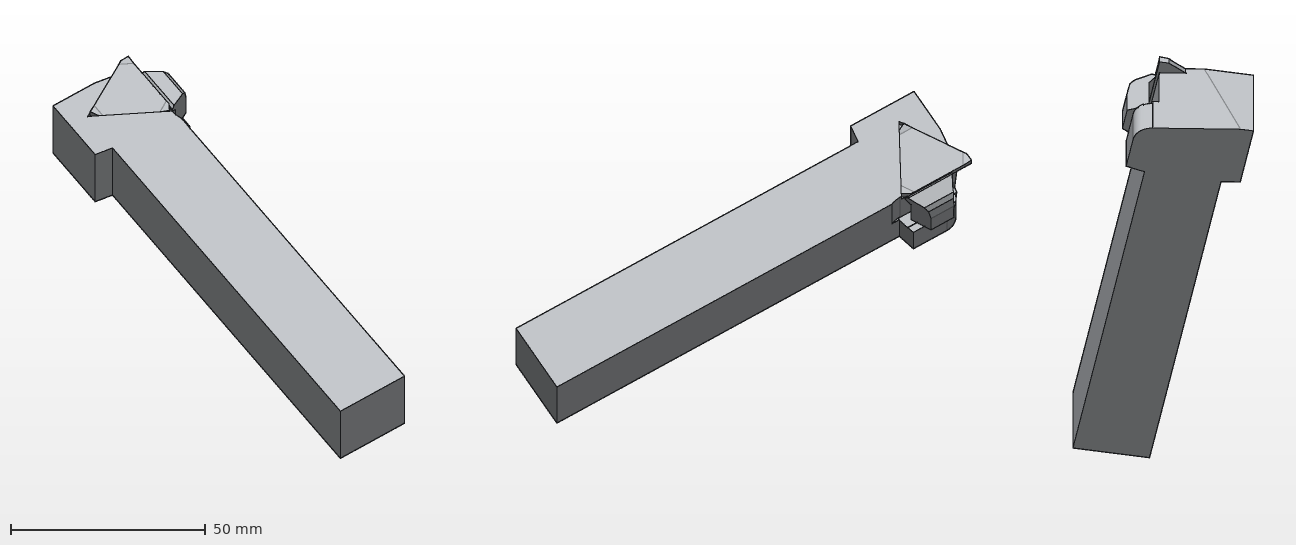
import cadquery as cq
import math

LENGTH = 125.0
SHANK_WIDTH = 20.0
BODY_HEIGHT = 20.0
SHANK_FRONT = 4.9
SHANK_BACK = SHANK_FRONT + SHANK_WIDTH

HEAD_LEFT = 2.0
HEAD_RIGHT = 21.1
SHOULDER_X = 21.9
RELIEF_TOP_Y = 12.9
RELIEF_BOTTOM_Y = 3.4
RELIEF_SLOPE = 0.16

LEDGE_HEIGHT = 9.1
LEDGE_BACK = 29.9
LEDGE_RIGHT = 20.6
LEDGE_ROOT_X = 21.8
LEDGE_RADIUS = 5.0
LEDGE_STEP_Y = 27.9
LEDGE_STEP_DEPTH = 0.2

RECESS_Y = 24.2
RECESS_FLAT_END = 21.2
RECESS_END = 24.0
RECESS_ARC_SAG = 0.1

CLAMP_BACK = 31.6
CLAMP_INNER = 26.4
CLAMP_NOSE_TOP_Y = 25.6
CLAMP_TOP = 20.1
CLAMP_CENTER_X = 12.94
CLAMP_FRONT_WIDTH = 14.1
CLAMP_BACK_WIDTH = 6.9
CLAMP_BACK_EDGE_Z = 15.4
CLAMP_SHOULDER_LOW = (31.0, 18.4)
CLAMP_SHOULDER_HIGH = (29.9, 19.4)
CLAMP_NOSE_HIGH_Z = 19.4
CLAMP_NOSE_LOW_Z = 18.8
CLAMP_INNER_TOP = 17.2

INSERT_CENTER_X = 9.9
INSERT_INRADIUS = 6.5
INSERT_CENTER_Y = SHANK_BACK - INSERT_INRADIUS
INSERT_BOTTOM = 18.5
TIP_RISE = 0.4
TIP_RAMP_START = 9.6
CORNER_DIRECTIONS = (30, 150, 270)
TRIANGLE_RADIUS = 2 * INSERT_INRADIUS
FIRST_CORNER = 150


def prism(points, bottom, top):
    """Straight prism standing on a closed XY outline."""
    return cq.Workplane("XY").workplane(offset=bottom).polyline(points).close().extrude(top - bottom)


def insert_triangle(bottom, top):
    points = [
        (
            INSERT_CENTER_X + TRIANGLE_RADIUS * math.cos(math.radians(angle)),
            INSERT_CENTER_Y + TRIANGLE_RADIUS * math.sin(math.radians(angle)),
        )
        for angle in CORNER_DIRECTIONS
    ]
    return prism(points, bottom, top)


def rotated_to_corner(shape, direction):
    """Turn a shape made at the first corner about the insert center."""
    start = (INSERT_CENTER_X, INSERT_CENTER_Y, 0)
    end = (INSERT_CENTER_X, INSERT_CENTER_Y, 1)
    return shape.rotate(start, end, direction - FIRST_CORNER)


def make_insert():
    insert = insert_triangle(INSERT_BOTTOM, BODY_HEIGHT)

    tilt = math.radians(FIRST_CORNER)
    tip_reach = (
        -INSERT_CENTER_X * math.cos(tilt) + INSERT_INRADIUS * math.sin(tilt)
    )
    margin = TRIANGLE_RADIUS
    corner_cut = cq.Workplane("XY").box(margin, margin, BODY_HEIGHT, centered=(False, True, False))
    corner_cut = corner_cut.translate((-margin, SHANK_BACK, INSERT_BOTTOM))

    ramp = (
        cq.Workplane("XZ")
        .polyline([
            (TIP_RAMP_START, INSERT_BOTTOM),
            (tip_reach, INSERT_BOTTOM),
            (tip_reach, BODY_HEIGHT + TIP_RISE),
            (TIP_RAMP_START, BODY_HEIGHT),
        ])
        .close()
        .extrude(TRIANGLE_RADIUS / 2, both=True)
        .rotate((0, 0, 0), (0, 0, 1), FIRST_CORNER)
        .translate((INSERT_CENTER_X, INSERT_CENTER_Y, 0))
    )
    raised_triangle = insert_triangle(INSERT_BOTTOM, BODY_HEIGHT + TIP_RISE)
    for direction in CORNER_DIRECTIONS:
        insert = insert.union(raised_triangle.intersect(rotated_to_corner(ramp, direction)))
    for direction in CORNER_DIRECTIONS:
        insert = insert.cut(rotated_to_corner(corner_cut, direction))
    return insert


def relief_x(y):
    """X of the relieved end face at the bottom."""
    return HEAD_LEFT + RELIEF_SLOPE * (y - RELIEF_BOTTOM_Y)


def make_shank_and_head():
    body = prism(
        [
            (HEAD_LEFT, 0),
            (HEAD_RIGHT, 0),
            (SHOULDER_X, SHANK_FRONT),
            (LENGTH, SHANK_FRONT),
            (LENGTH, SHANK_BACK),
            (HEAD_LEFT, SHANK_BACK),
        ],
        0,
        BODY_HEIGHT,
    )
    ledge = prism(
        [
            (HEAD_LEFT, RECESS_Y),
            (LEDGE_ROOT_X, RECESS_Y),
            (LEDGE_ROOT_X, SHANK_BACK),
            (LEDGE_RIGHT, LEDGE_BACK),
            (HEAD_LEFT, LEDGE_BACK),
        ],
        0,
        LEDGE_HEIGHT,
    )
    return body.union(ledge)


def end_relief():
    """Material removed by the inclined clearance plane on the head end."""
    far_y = CLAMP_BACK
    low_depth = relief_x(far_y)
    high_depth = HEAD_LEFT + RELIEF_SLOPE * (far_y - RELIEF_TOP_Y)
    low = cq.Workplane("XY").polyline(
        [(HEAD_LEFT, RELIEF_BOTTOM_Y), (low_depth, far_y), (HEAD_LEFT, far_y)]
    ).close()
    return low.workplane(offset=BODY_HEIGHT).polyline(
        [(HEAD_LEFT, RELIEF_TOP_Y), (high_depth, far_y), (HEAD_LEFT, far_y)]
    ).close().loft(ruled=True)


def ledge_corner():
    """Material outside the vertical round at the ledge's free corner."""
    slant = math.atan(RELIEF_SLOPE)
    center_y = LEDGE_BACK - LEDGE_RADIUS
    center_x = relief_x(center_y) + LEDGE_RADIUS / math.cos(slant)
    start = (
        center_x - LEDGE_RADIUS * math.cos(slant),
        center_y + LEDGE_RADIUS * math.sin(slant),
    )
    middle_angle = (math.pi / 2 + math.pi - slant) / 2
    middle = (
        center_x + LEDGE_RADIUS * math.cos(middle_angle),
        center_y + LEDGE_RADIUS * math.sin(middle_angle),
    )
    return (
        cq.Workplane("XY")
        .moveTo(*start)
        .threePointArc(middle, (center_x, LEDGE_BACK))
        .lineTo(0, LEDGE_BACK)
        .lineTo(0, start[1])
        .close()
        .extrude(LEDGE_HEIGHT)
    )


def ledge_step():
    """Shallow step that lowers the ledge floor next to the back wall."""
    return prism(
        [
            (0, RECESS_Y),
            (LEDGE_ROOT_X, RECESS_Y),
            (LEDGE_ROOT_X, LEDGE_STEP_Y),
            (0, LEDGE_STEP_Y),
        ],
        LEDGE_HEIGHT - LEDGE_STEP_DEPTH,
        LEDGE_HEIGHT,
    )


def insert_recess():
    """Shallow clearance in the back wall, above the ledge."""
    middle = (
        (RECESS_FLAT_END + RECESS_END) / 2,
        (RECESS_Y + SHANK_BACK) / 2 - RECESS_ARC_SAG,
    )
    return (
        cq.Workplane("XY")
        .workplane(offset=LEDGE_HEIGHT)
        .moveTo(0, RECESS_Y)
        .lineTo(RECESS_FLAT_END, RECESS_Y)
        .threePointArc(middle, (RECESS_END, SHANK_BACK))
        .lineTo(0, SHANK_BACK)
        .close()
        .extrude(BODY_HEIGHT - LEDGE_HEIGHT)
    )


def make_clamp():
    """Clamp standing on the ledge and hooking over to the insert edge."""
    profile = (
        cq.Workplane("YZ")
        .polyline([
            (CLAMP_INNER, LEDGE_HEIGHT),
            (CLAMP_BACK, LEDGE_HEIGHT),
            (CLAMP_BACK, CLAMP_BACK_EDGE_Z),
            CLAMP_SHOULDER_LOW,
            CLAMP_SHOULDER_HIGH,
            (CLAMP_NOSE_TOP_Y, CLAMP_TOP),
            (SHANK_BACK, CLAMP_NOSE_HIGH_Z),
            (SHANK_BACK, CLAMP_NOSE_LOW_Z),
            (CLAMP_INNER, CLAMP_INNER_TOP),
        ])
        .close()
        .extrude(LENGTH)
    )
    right_half = [
        (CLAMP_FRONT_WIDTH / 2, SHANK_BACK),
        (CLAMP_BACK_WIDTH / 2, CLAMP_BACK),
    ]
    left_half = [(-x, y) for x, y in reversed(right_half)]
    plan = prism(right_half + left_half, 0, CLAMP_TOP).translate((CLAMP_CENTER_X, 0, 0))
    return profile.intersect(plan)


def make_holder():
    holder = make_shank_and_head().cut(end_relief()).cut(ledge_corner())
    holder = holder.cut(insert_recess()).cut(ledge_step())
    holder = holder.union(make_clamp())
    return holder.cut(insert_triangle(INSERT_BOTTOM, BODY_HEIGHT))


holder = make_holder()
insert = make_insert()
result = cq.Compound.makeCompound([holder.solids().val(), insert.solids().val()])